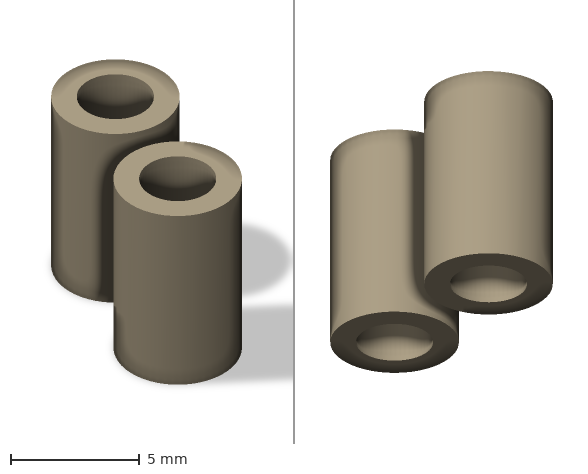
import cadquery as cq

OUTER_DIAMETER = 5.0
BORE_DIAMETER = 3.0
SLEEVE_HEIGHT = 8.05
SLEEVE_GAP = 1.0
SLEEVE_SPACING = OUTER_DIAMETER + SLEEVE_GAP
SLEEVE_COUNT = 2


def make_sleeve(center_x):
    """Round sleeve with a through bore, standing on Z = 0."""
    return (
        cq.Workplane("XY")
        .center(center_x, 0)
        .circle(OUTER_DIAMETER / 2)
        .circle(BORE_DIAMETER / 2)
        .extrude(SLEEVE_HEIGHT)
    )


first_center_x = -SLEEVE_SPACING * (SLEEVE_COUNT - 1) / 2
sleeves = [make_sleeve(first_center_x + i * SLEEVE_SPACING) for i in range(SLEEVE_COUNT)]

result = cq.Compound.makeCompound([sleeve.val() for sleeve in sleeves])